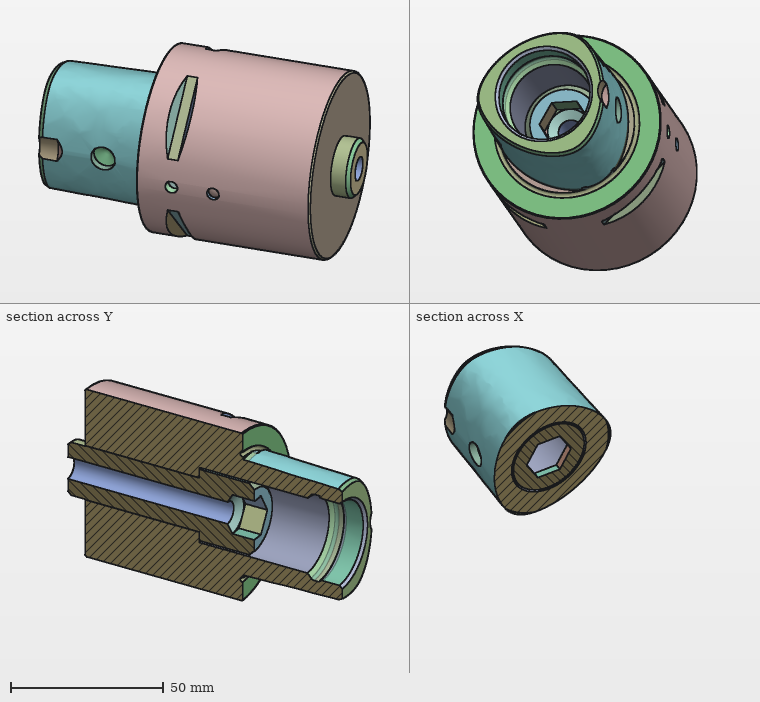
import cadquery as cq
import math


BODY_START = 37.9
BODY_END = 98.0
BODY_DIAMETER = 63.0
BODY_RADIUS = BODY_DIAMETER / 2
FRONT_EDGE_CHAMFER = 0.3
REAR_EDGE_CHAMFER = 0.6

LOBE_OFFSET = 1.4
TAPER_START = 1.5
TAPER_END = 35.7
TAPER_START_RADIUS = 21.2
TAPER_SLOPE = 1 / 40
TAPER_END_RADIUS = TAPER_START_RADIUS + TAPER_SLOPE * (TAPER_END - TAPER_START)
LEAD_IN_DROP = 0.7
OUTLINE_POINTS = 48

COLLAR_RADIUS = 22.7
COLLAR_START = 37.6
RING_GROOVE_RADIUS = 23.5
RING_GROOVE_SECTION_RADIUS = 0.8

MOUTH_RADIUS = 16.3
GRIP_BORE_RADIUS = 15.3
LIP_START = 7.5
LIP_END = 8.6
LIP_END_RADIUS = 15.6
GROOVE_RADIUS = 16.1
GROOVE_START = 8.8
GROOVE_ROUND_START = 10.8
GROOVE_ROUND_RADIUS = 1.5
GROOVE_ROUND_ANGLE = math.radians(57)
HEAD_BORE_RADIUS = 14.0
HEAD_BORE_START = 13.3

BOLT_RADIUS = 10.0
BOLT_HEAD_RADIUS = 13.5
BOLT_HEAD_START = 33.4
BOLT_HEAD_END = 54.3
BOLT_HEAD_CHAMFER = 2.0
BOLT_END = 104.5
BOLT_TIP_CHAMFER = 1.3
BOLT_HOLE_DIAMETER = 8.0
BOLT_HOLE_RADIUS = BOLT_HOLE_DIAMETER / 2
HEX_FLATS = 14.4
HEX_DEPTH = 8.4
HEX_FLOOR_RADIUS = HEX_FLATS / 2

SLOT_X = 50.1
SLOT_FLOOR = 28.0
SLOT_FLOOR_WIDTH = 3.6
SLOT_FLANK_ANGLE = math.radians(30)
SLOT_ANGLES = (45, 135, 225, 315)

INWARD = (0, 1, 0)
AXIAL = (1, 0, 0)
DRILL_ANGLE = 118
BODY_HOLE_RADIUS = 2.1
BODY_HOLE_DEPTH = 3.3
SHANK_HOLE_X = 22.7
SHANK_HOLE_RADIUS = 4.2
SHANK_HOLE_FLOOR = 17.2
NOTCH_DRILL_RADIUS = 6.0
NOTCH_FLOOR = 18.1
NOTCH_DEPTH = 6.5
NOTCH_POINT_ANGLE = 90

PLUG_X = 64.5
PLUG_RADIUS = BODY_HOLE_RADIUS
PLUG_FLOOR = 26.3
PLUG_RIM = 29.9
PLUG_DOME_RISE = 0.6


def turned(points):
    """Solid of revolution about X from a closed list of (x, radius) points."""
    return cq.Workplane("XY").polyline(points).close().revolve(360, (0, 0), (1, 0))


def lobed_wire(x, mean_radius):
    """Three-lobed outline in the plane at x, with one lobe on +Y and a flat side on -Y."""

    def outline(angle):
        reach = mean_radius - LOBE_OFFSET * math.cos(3 * angle)
        reach_change = 3 * LOBE_OFFSET * math.sin(3 * angle)
        y = reach_change * math.sin(angle) - reach * math.cos(angle)
        z = reach * math.sin(angle) + reach_change * math.cos(angle)
        return cq.Vector(x, y, z)

    points = [outline(2 * math.pi * i / OUTLINE_POINTS) for i in range(OUTLINE_POINTS)]
    return cq.Wire.assembleEdges([cq.Edge.makeSpline(points, periodic=True)])


def lobed_solid(x_start, radius_start, x_end, radius_end):
    wires = [lobed_wire(x_start, radius_start), lobed_wire(x_end, radius_end)]
    return cq.Workplane(cq.Solid.makeLoft(wires, True))


def point_length(radius_change, point_angle):
    """Length of a cone of the given full angle over a change of radius."""
    return radius_change / math.tan(math.radians(point_angle / 2))


def pointed_drill(start, direction, radius, depth, point_angle):
    """Drill shape of the given straight depth, ending in a point of the given full angle."""
    axis = cq.Vector(*direction)
    shoulder = cq.Vector(*start) + axis * depth
    straight = cq.Solid.makeCylinder(radius, depth, cq.Vector(*start), axis)
    point = cq.Solid.makeCone(radius, 0, point_length(radius, point_angle), shoulder, axis)
    return cq.Workplane(straight).union(cq.Workplane(point))


def make_shank():
    lead_in = lobed_solid(0, TAPER_START_RADIUS - LEAD_IN_DROP, TAPER_START, TAPER_START_RADIUS)
    taper = lobed_solid(TAPER_START, TAPER_START_RADIUS, TAPER_END, TAPER_END_RADIUS)
    neck = lobed_solid(TAPER_END, TAPER_END_RADIUS, BODY_START, TAPER_END_RADIUS)
    neck_limit = turned([
        (TAPER_END, 0), (TAPER_END, COLLAR_RADIUS), (BODY_START, COLLAR_RADIUS), (BODY_START, 0),
    ])
    return lead_in.union(taper).union(neck.intersect(neck_limit))


def make_body():
    body = turned([
        (COLLAR_START, 0),
        (COLLAR_START, COLLAR_RADIUS),
        (BODY_START, COLLAR_RADIUS),
        (BODY_START, BODY_RADIUS - FRONT_EDGE_CHAMFER),
        (BODY_START + FRONT_EDGE_CHAMFER, BODY_RADIUS),
        (BODY_END - REAR_EDGE_CHAMFER, BODY_RADIUS),
        (BODY_END, BODY_RADIUS - REAR_EDGE_CHAMFER),
        (BODY_END, 0),
    ])
    ring_groove = cq.Solid.makeTorus(
        RING_GROOVE_RADIUS, RING_GROOVE_SECTION_RADIUS, cq.Vector(BODY_START, 0, 0), cq.Vector(*AXIAL)
    )
    return body.cut(cq.Workplane(ring_groove))


def make_bore():
    """Bore for gripping segments, bolt head and bolt shank, widest at the mouth."""

    def groove_round(angle):
        x = GROOVE_ROUND_START + GROOVE_ROUND_RADIUS * math.sin(angle)
        return x, GROOVE_RADIUS - GROOVE_ROUND_RADIUS * (1 - math.cos(angle))

    return (
        cq.Workplane("XY")
        .moveTo(0, 0)
        .lineTo(0, MOUTH_RADIUS)
        .lineTo(MOUTH_RADIUS - GRIP_BORE_RADIUS, GRIP_BORE_RADIUS)
        .lineTo(LIP_START, GRIP_BORE_RADIUS)
        .lineTo(LIP_END, LIP_END_RADIUS)
        .lineTo(GROOVE_START, GROOVE_RADIUS)
        .lineTo(GROOVE_ROUND_START, GROOVE_RADIUS)
        .threePointArc(groove_round(GROOVE_ROUND_ANGLE / 2), groove_round(GROOVE_ROUND_ANGLE))
        .lineTo(HEAD_BORE_START, HEAD_BORE_RADIUS)
        .lineTo(BOLT_HEAD_END, HEAD_BORE_RADIUS)
        .lineTo(BOLT_HEAD_END, BOLT_RADIUS)
        .lineTo(BODY_END, BOLT_RADIUS)
        .lineTo(BODY_END, 0)
        .close()
        .revolve(360, (0, 0), (1, 0))
    )


def make_wrench_slot(angle):
    """Cutter for one slot, turned about X from the +Y direction."""
    depth = BODY_RADIUS - SLOT_FLOOR
    floor_half = SLOT_FLOOR_WIDTH / 2
    top_half = floor_half + depth * math.tan(SLOT_FLANK_ANGLE)
    return (
        cq.Workplane("XY")
        .polyline([
            (SLOT_X - floor_half, SLOT_FLOOR),
            (SLOT_X + floor_half, SLOT_FLOOR),
            (SLOT_X + top_half, BODY_RADIUS),
            (SLOT_X - top_half, BODY_RADIUS),
        ])
        .close()
        .extrude(BODY_RADIUS, both=True)
        .rotate((0, 0, 0), AXIAL, angle)
    )


def make_shank_drill():
    depth = BODY_RADIUS - SHANK_HOLE_FLOOR
    start = (SHANK_HOLE_X, -BODY_RADIUS, 0)
    return pointed_drill(start, INWARD, SHANK_HOLE_RADIUS, depth, DRILL_ANGLE)


def make_body_drill():
    """Blind hole midway between two wrench slots."""
    start = (SLOT_X, -BODY_RADIUS, 0)
    return pointed_drill(start, INWARD, BODY_HOLE_RADIUS, BODY_HOLE_DEPTH, DRILL_ANGLE)


def make_notch_drill():
    """Axial drill whose edge leaves a shallow notch in the end of the shank."""
    start = (0, -NOTCH_FLOOR - NOTCH_DRILL_RADIUS, 0)
    return pointed_drill(start, AXIAL, NOTCH_DRILL_RADIUS, NOTCH_DEPTH, NOTCH_POINT_ANGLE)


def make_plug_hole():
    start = cq.Vector(PLUG_X, -BODY_RADIUS, 0)
    hole = cq.Solid.makeCylinder(PLUG_RADIUS, BODY_RADIUS - PLUG_FLOOR, start, cq.Vector(*INWARD))
    return cq.Workplane(hole)


def make_housing():
    housing = make_shank().union(make_body()).cut(make_bore())
    for angle in SLOT_ANGLES:
        housing = housing.cut(make_wrench_slot(angle))

    for drill in (make_shank_drill(), make_body_drill(), make_notch_drill(), make_plug_hole()):
        housing = housing.cut(drill)
    return housing


def make_bolt():
    bolt = turned([
        (BOLT_HEAD_START, 0),
        (BOLT_HEAD_START, BOLT_HEAD_RADIUS - BOLT_HEAD_CHAMFER),
        (BOLT_HEAD_START + BOLT_HEAD_CHAMFER, BOLT_HEAD_RADIUS),
        (BOLT_HEAD_END, BOLT_HEAD_RADIUS),
        (BOLT_HEAD_END, BOLT_RADIUS),
        (BOLT_END - BOLT_TIP_CHAMFER, BOLT_RADIUS),
        (BOLT_END, BOLT_RADIUS - BOLT_TIP_CHAMFER),
        (BOLT_END, 0),
    ])
    hex_corners = HEX_FLATS / math.cos(math.pi / 6)
    socket = cq.Workplane("YZ", origin=(BOLT_HEAD_START, 0, 0)).polygon(6, hex_corners).extrude(HEX_DEPTH)
    socket_floor = BOLT_HEAD_START + HEX_DEPTH
    funnel_end = socket_floor + point_length(HEX_FLOOR_RADIUS - BOLT_HOLE_RADIUS, DRILL_ANGLE)
    through_hole = turned([
        (socket_floor, 0),
        (socket_floor, HEX_FLOOR_RADIUS),
        (funnel_end, BOLT_HOLE_RADIUS),
        (BOLT_END, BOLT_HOLE_RADIUS),
        (BOLT_END, 0),
    ])
    return bolt.cut(socket).cut(through_hole)


def make_plug():
    rim_x = PLUG_X + PLUG_RADIUS
    dome_top = PLUG_RIM + PLUG_DOME_RISE
    dome_radius = (PLUG_RADIUS**2 + PLUG_DOME_RISE**2) / (2 * PLUG_DOME_RISE)
    middle_angle = math.asin(PLUG_RADIUS / dome_radius) / 2
    dome_middle = (
        PLUG_X + dome_radius * math.sin(middle_angle),
        -dome_top + dome_radius * (1 - math.cos(middle_angle)),
    )
    return (
        cq.Workplane("XY")
        .moveTo(PLUG_X, -PLUG_FLOOR)
        .lineTo(rim_x, -PLUG_FLOOR)
        .lineTo(rim_x, -PLUG_RIM)
        .threePointArc(dome_middle, (PLUG_X, -dome_top))
        .close()
        .revolve(360, (PLUG_X, 0), (PLUG_X, -1))
    )


housing = make_housing()
bolt = make_bolt()
plug = make_plug()

result = cq.Compound.makeCompound([housing.val(), bolt.val(), plug.val()])